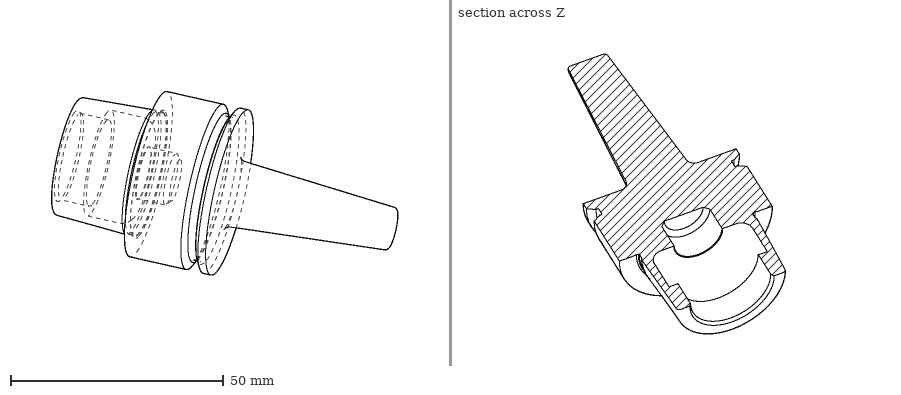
import cadquery as cq
import math

total_length = 79.9
shoulder_x = 19.8
flange_length = 20.0
flange_end_x = shoulder_x + flange_length

taper_end_x = 17.8
taper_start_radius = 14.2
taper_end_radius = 15.1
mouth_rounding = 0.8
neck_radius = 14.9
neck_x = 18.5

relief_outer_radius = 16.05
relief_inner_radius = 15.5
relief_depth = 0.15
relief_corner = relief_inner_radius - neck_radius

flange_diameter = 40.0
flange_radius = flange_diameter / 2
groove_floor_radius = 17.4
groove_wall_radius = 18.05
groove_start_x = 34.8
groove_end_x = 36.75
groove_floor_rounding = 0.15
groove_bevel_angle = 30.0
groove_bevel_width = (flange_radius - groove_wall_radius) * math.tan(math.radians(groove_bevel_angle))

nose_root_radius = 8.1
nose_tip_radius = 5.1
nose_root_rounding = 2.15
nose_tip_rounding = 0.95

bore_radius = 10.5
bore_mouth_radius = 11.0
bore_mouth_bevel = 0.8
lip_end_x = 7.7
chamber_radius = 12.8
chamber_wall_end_x = 15.6
chamber_floor_radius = 9.8
chamber_floor_rounding = chamber_radius - chamber_floor_radius
chamber_floor_x = chamber_wall_end_x + chamber_floor_rounding

hole_mouth_radius = 6.4
hole_mouth_bevel = 0.15
hole_wall_radius = hole_mouth_radius - hole_mouth_bevel
hole_floor_radius = 5.0
hole_depth = 8.0
hole_floor_x = chamber_floor_x + hole_depth
hole_floor_bevel = hole_wall_radius - hole_floor_radius

match_margin = 0.01


def revolve(profile):
    """Close a half profile and turn it around the X axis."""
    return profile.close().revolve(360, (0, 0, 0), (1, 0, 0))


def round_edge(body, x, radius, rounding):
    """Round the circular edge of the given radius that lies around the X axis at station x."""
    edge = body.edges("%CIRCLE").filter(
        lambda circle: abs(circle.Center().x - x) < match_margin
        and abs(circle.radius() - radius) < match_margin
    )
    return edge.fillet(rounding)


def outer_body():
    """Turned outside: taper, neck, grooved flange and nose."""
    profile = (
        cq.Workplane("XY")
        .lineTo(0, taper_start_radius)
        .lineTo(taper_end_x, taper_end_radius)
        .lineTo(neck_x, neck_radius)
        .lineTo(shoulder_x, neck_radius)
        .lineTo(shoulder_x, flange_radius)
        .lineTo(groove_start_x - groove_bevel_width, flange_radius)
        .lineTo(groove_start_x, groove_wall_radius)
        .lineTo(groove_start_x, groove_floor_radius)
        .lineTo(groove_end_x, groove_floor_radius)
        .lineTo(groove_end_x, groove_wall_radius)
        .lineTo(groove_end_x + groove_bevel_width, flange_radius)
        .lineTo(flange_end_x, flange_radius)
        .lineTo(flange_end_x, nose_root_radius)
        .lineTo(total_length, nose_tip_radius)
        .lineTo(total_length, 0)
    )
    body = revolve(profile)
    body = round_edge(body, 0, taper_start_radius, mouth_rounding)
    for wall_x in (groove_start_x, groove_end_x):
        body = round_edge(body, wall_x, groove_floor_radius, groove_floor_rounding)
    body = round_edge(body, flange_end_x, nose_root_radius, nose_root_rounding)
    return round_edge(body, total_length, nose_tip_radius, nose_tip_rounding)


def face_relief():
    """Shallow ring: a sloped wall from the face, then a rounding that runs out into the neck."""
    relief_floor_x = shoulder_x + relief_depth
    arc_middle = (
        relief_floor_x - relief_corner * (1 - math.sqrt(0.5)),
        relief_inner_radius - relief_corner * math.sqrt(0.5),
    )
    profile = (
        cq.Workplane("XY")
        .moveTo(shoulder_x, relief_outer_radius)
        .lineTo(relief_floor_x, relief_inner_radius)
        .threePointArc(arc_middle, (relief_floor_x - relief_corner, neck_radius))
        .lineTo(relief_floor_x - relief_corner, relief_outer_radius)
    )
    return revolve(profile)


def bore():
    """Hollow of the taper: bevelled mouth, clamping lip, wider chamber and a blind hole."""
    profile = (
        cq.Workplane("XY")
        .lineTo(0, bore_mouth_radius)
        .lineTo(bore_mouth_bevel, bore_radius)
        .lineTo(lip_end_x, bore_radius)
        .lineTo(lip_end_x, chamber_radius)
        .lineTo(chamber_floor_x, chamber_radius)
        .lineTo(chamber_floor_x, hole_mouth_radius)
        .lineTo(chamber_floor_x + hole_mouth_bevel, hole_wall_radius)
        .lineTo(hole_floor_x - hole_floor_bevel, hole_wall_radius)
        .lineTo(hole_floor_x, hole_floor_radius)
        .lineTo(hole_floor_x, 0)
    )
    return round_edge(revolve(profile), chamber_floor_x, chamber_radius, chamber_floor_rounding)


result = outer_body().cut(face_relief()).cut(bore())